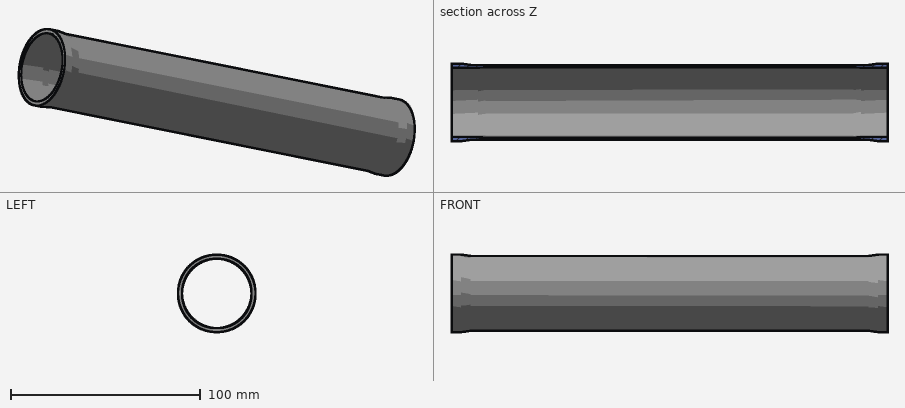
import cadquery as cq

LENGTH = 230.0

COLLAR_DIAMETER = 41.07
BODY_DIAMETER = 39.66
COLLAR_LENGTH = 5.0
COLLAR_CONE_LENGTH = 5.0

MOUTH_DIAMETER = 36.5
BORE_DIAMETER = 37.0
MOUTH_LENGTH = 14.0
MOUTH_CONE_LENGTH = 4.0


def stepped_cylinder(end_diameter, middle_diameter, end_length, cone_length):
    """Solid of revolution about X: end, cone, middle, cone, end."""
    end_radius = end_diameter / 2
    middle_radius = middle_diameter / 2
    face_x = LENGTH / 2
    cone_x = face_x - end_length
    middle_x = cone_x - cone_length
    return (
        cq.Workplane("XZ")
        .moveTo(-face_x, 0)
        .lineTo(-face_x, end_radius)
        .lineTo(-cone_x, end_radius)
        .lineTo(-middle_x, middle_radius)
        .lineTo(middle_x, middle_radius)
        .lineTo(cone_x, end_radius)
        .lineTo(face_x, end_radius)
        .lineTo(face_x, 0)
        .close()
        .revolve(360, (0, 0, 0), (1, 0, 0))
    )


outside = stepped_cylinder(COLLAR_DIAMETER, BODY_DIAMETER, COLLAR_LENGTH, COLLAR_CONE_LENGTH)
inside = stepped_cylinder(MOUTH_DIAMETER, BORE_DIAMETER, MOUTH_LENGTH, MOUTH_CONE_LENGTH)

result = outside.cut(inside)